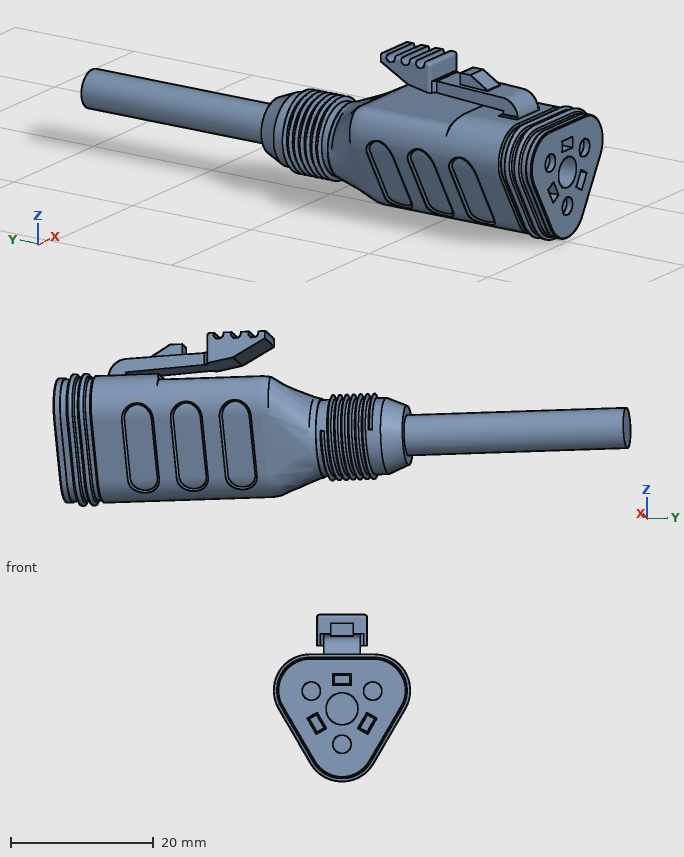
import cadquery as cq
import math

TOTAL_LENGTH = 80.25
OUTER_WIDTH = 19.2

CABLE_DIAMETER = 5.7
NECK_DIAMETER = 10.75
BOOT_END_DIAMETER = 8.35
BOOT_END_Y = 48.95
BOOT_CONE_Y = 46.1
THREAD_OUTER_RADIUS = 6.0
THREAD_START_Y = 37.7
THREAD_LENGTH = 6.9
THREAD_TURNS = 7
THREAD_BASE = 0.7
THREAD_SINK = 0.2

CORNER_X = 4.5
CORNER_Z = 4.3
LOWER_CORNER_Z = -3.4
BODY_RADIUS = 4.7
RING_RADIUS = OUTER_WIDTH / 2 - CORNER_X
GROOVE_RADIUS = 4.4
LIP_RADIUS = 4.6
SHOULDER_RADIUS = 4.6

LIP_LENGTH = 1.0
RING_STARTS = (2.1, 3.7)
RING_WIDTH = 0.65
RING_ROUND = 0.28
RING_FLARE = 0.25
LIP_CHAMFER = 0.2
BODY_START_Y = 5.2
BODY_EDGE_CHAMFER = 0.25
STEP_Y = 14.3
STEP_RUN = 0.5
BODY_END_Y = 29.6
SHOULDER_Y = 30.7
COLLAR_Y = 35.95
NECK_START_Y = 36.8
COLLAR_RADIUS = 5.8
COLLAR_END_RADIUS = 5.5

REAR_DROP = 1.1
REAR_FLAT_HALF = 6.4
REAR_EDGE_ANGLE = 31.0

GRIP_COUNT = 3
GRIP_FIRST_Y = 11.95
GRIP_PITCH = 7.0
GRIP_WIDTH = 4.5
GRIP_LENGTH = 13.4
GRIP_DEPTH = 0.4
GRIP_FLOOR_BEVEL = 0.3

FACE_CENTRE_Z = 1.8
CENTRE_HOLE_DIAMETER = 4.5
CENTRE_HOLE_DEPTH = 9.6
PIN_DIAMETER = 2.6
PIN_CIRCLE_RADIUS = 5.0
WINDOW_WIDTH = 2.6
WINDOW_HEIGHT = 1.6
WINDOW_CIRCLE_RADIUS = 4.1
PIN_HOLE_DEPTH = 1.0
WINDOW_DEPTH = 4.0
WINDOW_DRAFT = 3.0

LATCH_TOP_Z = 15.0
LATCH_ROOT_Z = CORNER_Z + BODY_RADIUS - REAR_DROP / 2
ARM_WIDTH = 5.1
PAD_WIDTH = 7.1
PAD_FRONT_Y = 20.9
PAD_BOTTOM_Z = 10.6
ARM_TOP_Z = 12.3
PAD_REAR_Y = 29.2
PAD_ROUND = 0.5
FOOT_WIDTH = 5.6
FOOT_FRONT_Y = 6.7
FOOT_REAR_Y = 9.15
FOOT_TOP_Z = 9.4
FOOT_TOE_Y = 10.8
ARM_BEND_MID = (7.6, 11.15)
ARM_BEND_END = (9.5, 11.8)
ARM_UNDERSIDE_Z = 9.9
PAD_LIP_Z = 13.9
PAD_KNEE = (24.6, 11.3)
CATCH_WIDTH = 3.2
CATCH_REAR_Y = 17.0
CATCH_CREST_Y = 15.3
CATCH_FRONT_Y = 12.4
CATCH_TOP_Z = 13.8
CATCH_TOE_Z = 12.0
CATCH_ROOT_Z = 11.7
SERRATION_COUNT = 3
SERRATION_FIRST_Y = 22.55
SERRATION_PITCH = 2.5
SERRATION_RADIUS = 0.7
SERRATION_AXIS_DROP = 0.25

side_rise = CORNER_Z - LOWER_CORNER_Z
side_run = math.hypot(CORNER_X, side_rise)
NORMAL_X = side_rise / side_run
NORMAL_Z = -CORNER_X / side_run
NORMAL_ANGLE = math.degrees(math.atan2(NORMAL_Z, NORMAL_X))


def section_plane(y):
    """XZ workplane at station y; a negative extrusion runs toward +Y."""
    return cq.Workplane("XZ", origin=(0, y, 0))


def corner_point(radius, angle):
    """Point on the right-hand upper corner arc."""
    turn = math.radians(angle)
    return CORNER_X + radius * math.cos(turn), CORNER_Z + radius * math.sin(turn)


def mirrored(point):
    return -point[0], point[1]


def lower_outline(sketch, start, start_angle, radius):
    """Continue from a right-hand corner point around the bottom to its mirror point."""
    corner_mid = corner_point(radius, (start_angle + NORMAL_ANGLE) / 2)
    side_top = corner_point(radius, NORMAL_ANGLE)
    side_bottom = (radius * NORMAL_X, LOWER_CORNER_Z + radius * NORMAL_Z)
    return (
        sketch.threePointArc(corner_mid, side_top)
        .lineTo(*side_bottom)
        .threePointArc((0, LOWER_CORNER_Z - radius), mirrored(side_bottom))
        .lineTo(*mirrored(side_top))
        .threePointArc(mirrored(corner_mid), mirrored(start))
    )


def full_section(y, radius):
    top = corner_point(radius, 90)
    sketch = section_plane(y).moveTo(*mirrored(top)).lineTo(*top)
    return lower_outline(sketch, top, 90, radius).close()


def rear_section(y, radius):
    """Rounded triangle with a lowered flat top and rounded shoulders."""
    flat_end = (REAR_FLAT_HALF, CORNER_Z + radius - REAR_DROP)
    edge = corner_point(radius, REAR_EDGE_ANGLE)
    reach = edge[0] - flat_end[0]
    fall = flat_end[1] - edge[1]
    round_radius = (reach**2 + fall**2) / (2 * fall)
    half_turn = math.asin(reach / round_radius) / 2
    round_mid = (
        flat_end[0] + round_radius * math.sin(half_turn),
        flat_end[1] - round_radius * (1 - math.cos(half_turn)),
    )
    sketch = section_plane(y).moveTo(*mirrored(flat_end)).lineTo(*flat_end)
    sketch = sketch.threePointArc(round_mid, edge)
    sketch = lower_outline(sketch, edge, REAR_EDGE_ANGLE, radius)
    return sketch.threePointArc(mirrored(round_mid), mirrored(flat_end)).close()


def loft_between(first, second):
    return cq.Workplane(cq.Solid.makeLoft([first.wires().val(), second.wires().val()], True))


def make_housing():
    front = full_section(BODY_START_Y, BODY_RADIUS).extrude(BODY_START_Y - STEP_Y - STEP_RUN)
    front = front.faces("<Y").chamfer(BODY_EDGE_CHAMFER)
    top_z = CORNER_Z + BODY_RADIUS
    step_bevel = (
        cq.Workplane("YZ")
        .polyline([(STEP_Y, top_z), (STEP_Y + STEP_RUN, top_z), (STEP_Y + STEP_RUN, top_z - REAR_DROP)])
        .close()
        .extrude(CORNER_X + BODY_RADIUS, both=True)
    )
    rear = rear_section(STEP_Y, BODY_RADIUS).extrude(STEP_Y - BODY_END_Y)
    shoulder = loft_between(rear_section(BODY_END_Y, BODY_RADIUS), rear_section(SHOULDER_Y, SHOULDER_RADIUS))
    taper = loft_between(
        rear_section(SHOULDER_Y, SHOULDER_RADIUS), section_plane(COLLAR_Y).circle(COLLAR_RADIUS)
    )
    return front.cut(step_bevel).union(rear).union(shoulder).union(taper)


def make_sealing_end():
    end = full_section(0, GROOVE_RADIUS).extrude(-BODY_START_Y)
    lip = full_section(0, LIP_RADIUS).extrude(-LIP_LENGTH)
    end = end.union(lip.faces("<Y").chamfer(LIP_CHAMFER))
    for start in RING_STARTS:
        ring = full_section(start, RING_RADIUS).extrude(-RING_WIDTH)
        root = full_section(start - RING_FLARE, GROOVE_RADIUS + RING_FLARE)
        root = root.extrude(-RING_WIDTH - 2 * RING_FLARE)
        end = end.union(root.faces("<Y or >Y").chamfer(RING_FLARE))
        end = end.union(ring.faces("<Y or >Y").edges().fillet(RING_ROUND))
    return end


def make_cable_end():
    """Collar, neck, boot cone and cable as one revolved body."""
    neck_radius = NECK_DIAMETER / 2
    cable_radius = CABLE_DIAMETER / 2
    return (
        cq.Workplane("XY")
        .polyline([
            (0, COLLAR_Y),
            (COLLAR_RADIUS, COLLAR_Y),
            (COLLAR_END_RADIUS, NECK_START_Y),
            (neck_radius, NECK_START_Y),
            (neck_radius, BOOT_CONE_Y),
            (BOOT_END_DIAMETER / 2, BOOT_END_Y),
            (cable_radius, BOOT_END_Y),
            (cable_radius, TOTAL_LENGTH),
            (0, TOTAL_LENGTH),
        ])
        .close()
        .revolve(360, (0, 0, 0), (0, 1, 0))
    )


def make_thread():
    """Right-handed triangular ridge wound around the neck."""
    root_radius = NECK_DIAMETER / 2 - THREAD_SINK
    helix = cq.Wire.makeHelix(THREAD_LENGTH / THREAD_TURNS, THREAD_LENGTH, root_radius)
    ridge = (
        cq.Workplane("XZ")
        .polyline([
            (root_radius, -THREAD_BASE / 2),
            (THREAD_OUTER_RADIUS, 0),
            (root_radius, THREAD_BASE / 2),
        ])
        .close()
        .sweep(cq.Workplane(helix), isFrenet=True)
    )
    return ridge.rotate((0, 0, 0), (1, 0, 0), -90).translate((0, THREAD_START_Y, 0))


def make_grips():
    """Slots that follow the slanted side at constant depth, with a bevelled floor rim."""
    body_length = BODY_END_Y - BODY_START_Y
    skin = full_section(BODY_START_Y, BODY_RADIUS).extrude(-body_length)
    skin = skin.cut(full_section(BODY_START_Y, BODY_RADIUS - GRIP_DEPTH).extrude(-body_length))
    floor_zone_radius = BODY_RADIUS - GRIP_DEPTH * 3 / 4
    floor_zone = full_section(BODY_START_Y, floor_zone_radius).extrude(-body_length).val()

    def is_on_floor(edge):
        return floor_zone.isInside(edge.positionAt(0.5))

    mid_x = CORNER_X / 2 + BODY_RADIUS * NORMAL_X
    mid_z = (CORNER_Z + LOWER_CORNER_Z) / 2 + BODY_RADIUS * NORMAL_Z
    grips = cq.Workplane()
    for index in range(GRIP_COUNT):
        plane = cq.Plane(
            origin=(mid_x, GRIP_FIRST_Y + index * GRIP_PITCH, mid_z),
            xDir=(-NORMAL_Z, 0, NORMAL_X),
            normal=(NORMAL_X, 0, NORMAL_Z),
        )
        slot = cq.Workplane(plane).slot2D(GRIP_LENGTH, GRIP_WIDTH)
        grip = slot.extrude(-GRIP_LENGTH / 2).intersect(skin)
        floor_rim = grip.edges().filter(is_on_floor).edges("not |Y")
        grips = grips.add(floor_rim.chamfer(GRIP_FLOOR_BEVEL))
    right = grips.combine()
    return right.union(right.mirror("YZ"))


def make_face_openings():
    """Central hole, with three pin holes and three tapered windows spaced around it."""
    axis_start = (0, 0, FACE_CENTRE_Z)
    axis_end = (0, 1, FACE_CENTRE_Z)
    face = section_plane(0).center(0, FACE_CENTRE_Z)
    openings = face.circle(CENTRE_HOLE_DIAMETER / 2).extrude(-CENTRE_HOLE_DEPTH)
    pin = section_plane(0).center(0, FACE_CENTRE_Z - PIN_CIRCLE_RADIUS)
    pin_hole = pin.circle(PIN_DIAMETER / 2).extrude(-PIN_HOLE_DEPTH)
    window = section_plane(0).center(0, FACE_CENTRE_Z + WINDOW_CIRCLE_RADIUS)
    window_hole = window.rect(WINDOW_WIDTH, WINDOW_HEIGHT).extrude(-WINDOW_DEPTH, taper=WINDOW_DRAFT)
    for angle in (0, 120, 240):
        openings = openings.union(pin_hole.rotate(axis_start, axis_end, angle))
        openings = openings.union(window_hole.rotate(axis_start, axis_end, angle))
    return openings


def side_prism(points, width):
    """Prism centred on X = 0 from a closed (Y, Z) outline."""
    return cq.Workplane("YZ").polyline(points).close().extrude(width / 2, both=True)


def make_pad_flare():
    """Short taper that blends the pad width into the arm."""
    pad_half = PAD_WIDTH / 2 - PAD_ROUND
    arm_half = ARM_WIDTH / 2
    flare_end_y = PAD_FRONT_Y - PAD_ROUND
    return (
        cq.Workplane("XY", origin=(0, 0, PAD_BOTTOM_Z))
        .polyline([
            (-pad_half, PAD_FRONT_Y), (-arm_half, flare_end_y), (arm_half, flare_end_y), (pad_half, PAD_FRONT_Y),
        ])
        .close()
        .extrude(ARM_TOP_Z - PAD_BOTTOM_Z)
    )


def make_latch():
    arm = (
        cq.Workplane("YZ")
        .moveTo(FOOT_FRONT_Y, LATCH_ROOT_Z)
        .lineTo(FOOT_FRONT_Y, FOOT_TOP_Z)
        .threePointArc(ARM_BEND_MID, ARM_BEND_END)
        .lineTo(PAD_FRONT_Y, ARM_TOP_Z)
        .lineTo(PAD_FRONT_Y, PAD_BOTTOM_Z)
        .lineTo(FOOT_REAR_Y, ARM_UNDERSIDE_Z)
        .lineTo(FOOT_REAR_Y, LATCH_ROOT_Z)
        .close()
        .extrude(ARM_WIDTH / 2, both=True)
    )
    pad = side_prism(
        [
            (PAD_FRONT_Y, LATCH_TOP_Z),
            (PAD_REAR_Y, LATCH_TOP_Z),
            (PAD_REAR_Y, PAD_LIP_Z),
            PAD_KNEE,
            (PAD_FRONT_Y, PAD_BOTTOM_Z),
        ],
        PAD_WIDTH,
    )
    pad = pad.faces("<Y or >Z").edges("|Z or |Y or (<Y and >Z)").fillet(PAD_ROUND)
    pad = pad.union(make_pad_flare())
    for index in range(SERRATION_COUNT):
        y = SERRATION_FIRST_Y + index * SERRATION_PITCH
        groove = cq.Workplane("YZ").center(y, LATCH_TOP_Z - SERRATION_AXIS_DROP).circle(SERRATION_RADIUS)
        pad = pad.cut(groove.extrude(PAD_WIDTH, both=True))
    catch = side_prism(
        [
            (CATCH_REAR_Y, CATCH_ROOT_Z),
            (CATCH_REAR_Y, CATCH_TOP_Z),
            (CATCH_CREST_Y, CATCH_TOP_Z),
            (CATCH_FRONT_Y, CATCH_TOE_Z),
            (CATCH_FRONT_Y, CATCH_ROOT_Z),
        ],
        CATCH_WIDTH,
    )
    foot = side_prism(
        [
            (FOOT_FRONT_Y, LATCH_ROOT_Z),
            (FOOT_FRONT_Y, FOOT_TOP_Z),
            (FOOT_REAR_Y, FOOT_TOP_Z),
            (FOOT_TOE_Y, LATCH_ROOT_Z),
        ],
        FOOT_WIDTH,
    )
    return arm.union(pad).union(catch).union(foot)


result = (
    make_housing()
    .union(make_sealing_end())
    .union(make_cable_end())
    .union(make_thread())
    .union(make_latch())
    .cut(make_grips())
    .cut(make_face_openings())
)